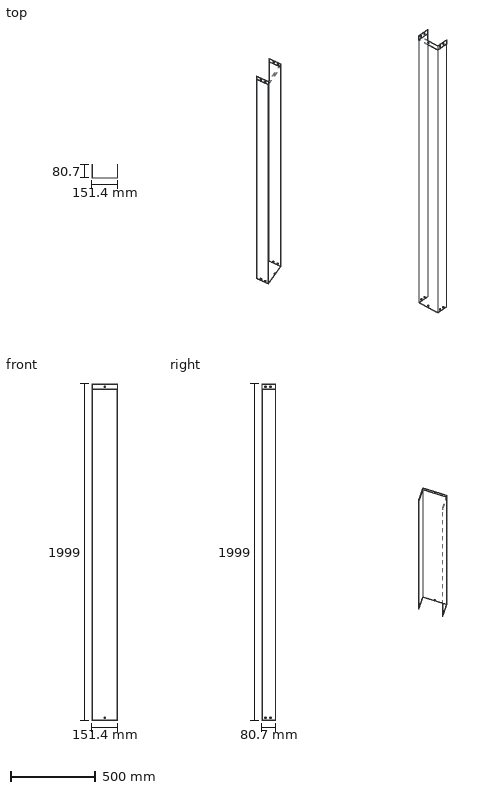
import cadquery as cq

width = 151.4
depth = 80.7
length = 1999.0
sheet = 0.7

socket_length = 31.0
socket_bottom = length - socket_length

end_inset = 15.0
bottom_row_z = end_inset
top_row_z = length - end_inset

fastener_size = 7.0
slot_length = 10.0
first_opening_from_web = 20.0
flange_opening_pitch = 30.0
flange_opening_count = 2


def channel(inset, bottom, top):
    """U-shaped length, open toward +Y, whose outer faces lie `inset` inside the overall size."""
    outer_width = width - 2 * inset
    inner_width = outer_width - 2 * sheet
    outer_depth = depth - inset
    height = top - bottom
    block = cq.Workplane("XY").box(outer_width, outer_depth, height, centered=(True, False, False))
    cavity = (
        cq.Workplane("XY")
        .box(inner_width, outer_depth, height, centered=(True, False, False))
        .translate((0, sheet, 0))
    )
    return block.cut(cavity).translate((0, inset, bottom))


def web_hole(z):
    """Cutter for the round hole through the middle of the web."""
    return cq.Workplane("XZ").center(0, z).circle(fastener_size / 2).extrude(-depth)


def flange_row(z):
    """Workplane holding the centres of one row of flange openings, seen along X."""
    first_y = sheet + first_opening_from_web
    centers = [(first_y + i * flange_opening_pitch, z) for i in range(flange_opening_count)]
    return cq.Workplane("YZ").pushPoints(centers)


def square_openings(z):
    """Cutter for the square openings through both flanges."""
    return flange_row(z).rect(fastener_size, fastener_size).extrude(width, both=True)


def slotted_openings(z):
    """Cutter for the slots through both flanges, elongated along Y."""
    return flange_row(z).slot2D(slot_length, fastener_size).extrude(width, both=True)


main_run = channel(sheet, 0, socket_bottom + sheet)
socket = channel(0, socket_bottom, length)
body = main_run.union(socket)

for row_z in (bottom_row_z, top_row_z):
    body = body.cut(web_hole(row_z))

body = body.cut(square_openings(top_row_z))
body = body.cut(slotted_openings(bottom_row_z))

result = body